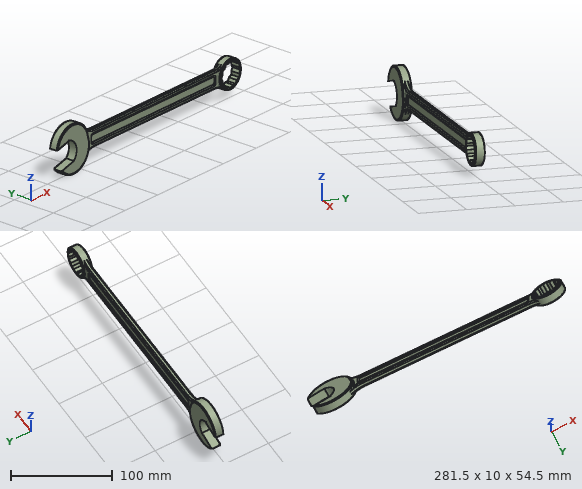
import cadquery as cq
import math


length = 281.5
end_thickness = 10.0
end_chamfer_run = 1.5
end_chamfer_depth = 0.8
across_flats = 25.0
half_flats = across_flats / 2
nut_corner_radius = half_flats / math.cos(math.radians(30))

jaw_angle = 15.0
jaw_cos = math.cos(math.radians(jaw_angle))
jaw_sin = math.sin(math.radians(jaw_angle))
head_height = 54.5
cheek_radius = 24.2
cheek_offset = (head_height / 2 - cheek_radius) / jaw_cos
tip_along = -math.sqrt(cheek_radius**2 - (half_flats - cheek_offset) ** 2)
head_x = half_flats * jaw_sin - tip_along * jaw_cos
nut_setback = 9.9

ring_radius = 16.5
ring_x = length - ring_radius

shank_width = 19.5
shank_thickness = 6.0
shank_chamfer = 1.5
flare_radius = 18.5
flare_overlap = 0.05
root_fillet = 1.0

recess_start = 54.3
recess_end = 244.5
recess_width = 11.5
recess_depth = 0.99
recess_wall_run = 1.7
recess_rim_radius = 3.0
recess_floor_radius = 1.5

tolerance = 0.003


def slab_plane(thickness, x=0.0):
    """XZ plane from which extruding by the thickness centres the slab on Y = 0."""
    return cq.Workplane("XZ", origin=(x, thickness / 2, 0))


def jaw_to_xz(along, across):
    """X and Z of a position along and across the jaw axis, from the head centre."""
    x = head_x + along * jaw_cos - across * jaw_sin
    z = along * jaw_sin + across * jaw_cos
    return x, z


upper_cheek = jaw_to_xz(0, cheek_offset)
lower_cheek = jaw_to_xz(0, -cheek_offset)
ring_centre = (ring_x, 0)


def make_end_disc(centre, radius):
    """Disc with a shallow chamfer round both faces."""
    half = end_thickness / 2
    wall_half = half - end_chamfer_depth
    face_radius = radius - end_chamfer_run
    profile = (
        cq.Workplane("XY", origin=(centre[0], 0, centre[1]))
        .moveTo(0, -half)
        .lineTo(face_radius, -half)
        .lineTo(radius, -wall_half)
        .lineTo(radius, wall_half)
        .lineTo(face_radius, half)
        .lineTo(0, half)
        .close()
    )
    return profile.revolve(360, (0, 0, 0), (0, 1, 0))


def flare_points(centre, end_radius, side, direction):
    """Points of a flare arc: on the end disc, halfway, and where it meets the shank side.

    side is +1 for the upper shank side and -1 for the lower one;
    direction is the X sense from the disc toward the shank.
    """
    x, z = centre
    disc_radius = end_radius - flare_overlap
    reach = disc_radius + flare_radius
    rise = side * (shank_width / 2 + flare_radius) - z
    run = direction * math.sqrt(reach**2 - rise**2)
    on_disc = (x + run * disc_radius / reach, z + rise * disc_radius / reach)
    on_shank = (x + run, side * shank_width / 2)
    chord_x = (on_disc[0] + on_shank[0]) / 2 - (x + run)
    chord_z = (on_disc[1] + on_shank[1]) / 2 - (z + rise)
    stretch = flare_radius / math.hypot(chord_x, chord_z)
    halfway = (x + run + chord_x * stretch, z + rise + chord_z * stretch)
    return on_disc, halfway, on_shank


def make_shank():
    """Flat chamfered bar whose sides flare out into the head and the ring."""
    head_top, head_top_mid, bar_top_left = flare_points(upper_cheek, cheek_radius, 1, 1)
    head_low, head_low_mid, bar_low_left = flare_points(lower_cheek, cheek_radius, -1, 1)
    ring_top, ring_top_mid, bar_top_right = flare_points(ring_centre, ring_radius, 1, -1)
    ring_low, ring_low_mid, bar_low_right = flare_points(ring_centre, ring_radius, -1, -1)
    outline = (
        slab_plane(shank_thickness)
        .moveTo(*upper_cheek)
        .lineTo(*head_top)
        .threePointArc(head_top_mid, bar_top_left)
        .lineTo(*bar_top_right)
        .threePointArc(ring_top_mid, ring_top)
        .lineTo(*ring_centre)
        .lineTo(*ring_low)
        .threePointArc(ring_low_mid, bar_low_right)
        .lineTo(*bar_low_left)
        .threePointArc(head_low_mid, head_low)
        .lineTo(*lower_cheek)
        .close()
    )
    return outline.extrude(shank_thickness).faces("<Y or >Y").edges().chamfer(shank_chamfer)


def make_jaw_opening():
    """Parallel-sided slot whose rounded bottom clears the corners of the nut."""
    corner = math.sqrt(nut_corner_radius**2 - half_flats**2) - nut_setback
    bottom = nut_corner_radius - nut_setback
    mouth = -2 * cheek_radius
    outline = (
        slab_plane(end_thickness)
        .moveTo(*jaw_to_xz(mouth, half_flats))
        .lineTo(*jaw_to_xz(corner, half_flats))
        .threePointArc(jaw_to_xz(bottom, 0), jaw_to_xz(corner, -half_flats))
        .lineTo(*jaw_to_xz(mouth, -half_flats))
        .close()
    )
    return outline.extrude(end_thickness)


def make_hexagon(turn):
    """Nut-sized hexagonal prism through the ring."""
    plane = slab_plane(end_thickness, ring_x).transformed(rotate=(0, 0, turn))
    return plane.polygon(6, 2 * nut_corner_radius).extrude(end_thickness)


def make_recess():
    """Shallow pocket with sloping walls in the -Y shank face."""
    rim_length = recess_end - recess_start
    floor_length = rim_length - 2 * recess_wall_run
    floor_width = recess_width - 2 * recess_wall_run
    rim = cq.Sketch().rect(rim_length, recess_width).vertices().fillet(recess_rim_radius)
    floor = cq.Sketch().rect(floor_length, floor_width).vertices().fillet(recess_floor_radius)
    rim_plane = cq.Workplane("XZ", origin=((recess_start + recess_end) / 2, -shank_thickness / 2, 0))
    floor_shift = cq.Location(cq.Vector(0, 0, -recess_depth))
    return rim_plane.placeSketch(rim, floor.moved(floor_shift)).loft()


def is_root_arc(edge):
    """True for the end-wall arcs that border the flat shank faces."""
    on_shank_face = abs(abs(edge.Center().y) - shank_thickness / 2) < tolerance
    on_end_wall = any(abs(edge.radius() - radius) < tolerance for radius in (cheek_radius, ring_radius))
    return on_shank_face and on_end_wall


end_discs = ((upper_cheek, cheek_radius), (lower_cheek, cheek_radius), (ring_centre, ring_radius))
blank = make_shank()
for centre, radius in end_discs:
    blank = blank.union(make_end_disc(centre, radius))
blank = blank.edges("%CIRCLE").filter(is_root_arc).fillet(root_fillet)

recess = make_recess()
result = (
    blank.cut(make_jaw_opening())
    .cut(make_hexagon(0))
    .cut(make_hexagon(30))
    .cut(recess)
    .cut(recess.mirror("XZ"))
)